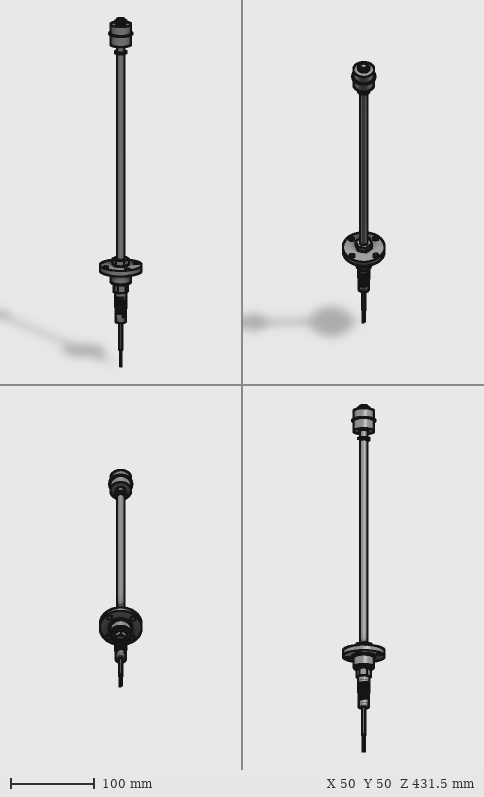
import cadquery as cq
import math

CABLE_BOTTOM_Z = 20.7
GLAND_BOTTOM_Z = 55.0
GLAND_BAND_Z = 59.0
GLAND_TAPER_TOP_Z = 87.5
GLAND_HEX_BOTTOM_Z = 93.0
GLAND_HEX_TOP_Z = 102.5
HUB_BOTTOM_Z = 103.5
FLANGE_BOTTOM_Z = 118.5
FLANGE_TOP_Z = 125.5
NUT_BOTTOM_Z = 126.5
NUT_TOP_Z = 133.5
LOWER_CLIP_Z = 389.7
FLOAT_BOTTOM_Z = 400.0
SEAM_Z = 413.5
UPPER_CLIP_Z = 427.7
STEM_TOP_Z = 431.5

STEM_DIA = 9.0
STEM_END_CHAMFER = 0.5
CLIP_GROOVE_DIA = 7.0
CLIP_GROOVE_MARGIN = 1.0

CLIP_OUTER_DIA = 14.2
CLIP_THICKNESS = 1.0
CLIP_MOUTH_ANGLE = 66

FLOAT_DIA = 25.0
FLOAT_HEIGHT = 25.0
FLOAT_BORE_DIA = 11.0
SEAM_DIA = 27.5
SEAM_HEIGHT = 1.5
SEAM_CREST_HEIGHT = 0.5

FLANGE_DIA = 50.0
BOLT_HOLE_DIA = 6.0
BOLT_CIRCLE_DIA = 40.0
BOLT_HOLE_COUNT = 4
NUT_ACROSS_FLATS = 17.3
NUT_NECK_DIA = 16.5
HUB_DIA = 25.0
HUB_CHAMFER = 1.7

GLAND_HEX_ACROSS_FLATS = 15.0
GLAND_HEX_TURN = 15
GLAND_NECK_DIA = 14.5
GLAND_TOP_DIA = 14.0
GLAND_END_DIA = 12.5
GLAND_END_FILLET = 1.5
SPIRAL_HEIGHT = 22.5
SPIRAL_TURNS = 5
SPIRAL_PITCH = SPIRAL_HEIGHT / SPIRAL_TURNS
SPIRAL_START_Z = 63.5
SPIRAL_MOUTH_WIDTH = 3.0
SPIRAL_FLOOR_WIDTH = 1.5
SPIRAL_DEPTH = 1.1

CABLE_DIA = 4.0
WIRE_COUNT = 2
WIRE_DIA = 1.4
WIRE_SPACING = 2.07

HEX_CORNERS = 6
CORNERS_PER_FLATS = 1 / math.cos(math.pi / HEX_CORNERS)


def cylinder(diameter, bottom, top):
    return cq.Workplane("XY").workplane(offset=bottom).circle(diameter / 2).extrude(top - bottom)


def tube(outer_dia, inner_dia, bottom, top):
    return cylinder(outer_dia, bottom, top).cut(cylinder(inner_dia, bottom, top))


def hexagon(across_flats, bottom, top, turn=0):
    across_corners = across_flats * CORNERS_PER_FLATS
    prism = (
        cq.Workplane("XY").workplane(offset=bottom)
        .polygon(HEX_CORNERS, across_corners)
        .extrude(top - bottom)
    )
    return prism.rotate((0, 0, 0), (0, 0, 1), turn)


def revolved(profile):
    return cq.Workplane("XZ").polyline(profile).close().revolve(360, (0, 0, 0), (0, 1, 0))


def make_stem():
    """Straight rod seated in the flange, with a groove for each clip."""
    stem = cylinder(STEM_DIA, FLANGE_BOTTOM_Z, STEM_TOP_Z).faces(">Z").chamfer(STEM_END_CHAMFER)
    for clip_z in (LOWER_CLIP_Z, UPPER_CLIP_Z):
        groove_bottom = clip_z - CLIP_GROOVE_MARGIN
        stem = stem.cut(tube(STEM_DIA, CLIP_GROOVE_DIA, groove_bottom, clip_z + CLIP_THICKNESS))
    return stem


def make_clip(bottom):
    """Open retaining ring whose mouth faces +X."""
    top = bottom + CLIP_THICKNESS
    ring = tube(CLIP_OUTER_DIA, CLIP_GROOVE_DIA, bottom, top)
    mouth_half_width = CLIP_OUTER_DIA * math.tan(math.radians(CLIP_MOUTH_ANGLE / 2))
    mouth = (
        cq.Workplane("XY").workplane(offset=bottom)
        .polyline([(0, 0), (CLIP_OUTER_DIA, -mouth_half_width), (CLIP_OUTER_DIA, mouth_half_width)])
        .close()
        .extrude(CLIP_THICKNESS)
    )
    return ring.cut(mouth)


def make_float():
    """Hollow cylinder with a raised seam around its middle."""
    top = FLOAT_BOTTOM_Z + FLOAT_HEIGHT
    bore = FLOAT_BORE_DIA / 2
    wall = FLOAT_DIA / 2
    return revolved([
        (bore, FLOAT_BOTTOM_Z),
        (wall, FLOAT_BOTTOM_Z),
        (wall, SEAM_Z - SEAM_HEIGHT / 2),
        (SEAM_DIA / 2, SEAM_Z - SEAM_CREST_HEIGHT / 2),
        (SEAM_DIA / 2, SEAM_Z + SEAM_CREST_HEIGHT / 2),
        (wall, SEAM_Z + SEAM_HEIGHT / 2),
        (wall, top),
        (bore, top),
    ])


def make_flange():
    """Bolted plate with a hexagon above it and a hub flared into its underside."""
    wall = HUB_DIA / 2
    hub = revolved([
        (0, HUB_BOTTOM_Z),
        (wall - HUB_CHAMFER, HUB_BOTTOM_Z),
        (wall, HUB_BOTTOM_Z + HUB_CHAMFER),
        (wall, FLANGE_BOTTOM_Z - HUB_CHAMFER),
        (wall + HUB_CHAMFER, FLANGE_BOTTOM_Z),
        (0, FLANGE_BOTTOM_Z),
    ])
    plate = cylinder(FLANGE_DIA, FLANGE_BOTTOM_Z, FLANGE_TOP_Z)
    plate = (
        plate.faces(">Z").workplane()
        .polarArray(BOLT_CIRCLE_DIA / 2, 0, 360, BOLT_HOLE_COUNT)
        .hole(BOLT_HOLE_DIA)
    )
    nut_neck = cylinder(NUT_NECK_DIA, FLANGE_TOP_Z, NUT_BOTTOM_Z)
    nut = hexagon(NUT_ACROSS_FLATS, NUT_BOTTOM_Z, NUT_TOP_Z)
    stem_bore = cylinder(STEM_DIA, FLANGE_BOTTOM_Z, NUT_TOP_Z)
    return hub.union(plate).union(nut_neck).union(nut).cut(stem_bore)


def make_spiral_groove():
    """Trapezoidal cutter wound around the gland sleeve."""
    outer = GLAND_TOP_DIA / 2
    helix = cq.Wire.makeHelix(SPIRAL_PITCH, SPIRAL_HEIGHT, outer, cq.Vector(0, 0, SPIRAL_START_Z))
    path = cq.Workplane("XY").add(helix)
    half_mouth = SPIRAL_MOUTH_WIDTH / 2
    half_floor = SPIRAL_FLOOR_WIDTH / 2
    section = (
        cq.Workplane("XZ").center(outer, SPIRAL_START_Z)
        .polyline([
            (-SPIRAL_DEPTH, -half_floor),
            (0, -half_mouth),
            (SPIRAL_DEPTH, -half_mouth),
            (SPIRAL_DEPTH, half_mouth),
            (0, half_mouth),
            (-SPIRAL_DEPTH, half_floor),
        ])
        .close()
    )
    return section.sweep(path, isFrenet=True)


def make_gland():
    """Hexagon head with a tapered, spirally grooved sleeve around the cable."""
    end = GLAND_END_DIA / 2
    top = GLAND_TOP_DIA / 2
    sleeve = revolved([
        (0, GLAND_BOTTOM_Z),
        (end, GLAND_BOTTOM_Z),
        (end, GLAND_BAND_Z),
        (top, GLAND_TAPER_TOP_Z),
        (top, GLAND_HEX_BOTTOM_Z),
        (0, GLAND_HEX_BOTTOM_Z),
    ])
    sleeve = sleeve.faces("<Z").edges().fillet(GLAND_END_FILLET).cut(make_spiral_groove())
    head = hexagon(GLAND_HEX_ACROSS_FLATS, GLAND_HEX_BOTTOM_Z, GLAND_HEX_TOP_Z, GLAND_HEX_TURN)
    neck = cylinder(GLAND_NECK_DIA, GLAND_HEX_TOP_Z, HUB_BOTTOM_Z)
    return sleeve.union(head).union(neck).cut(cylinder(CABLE_DIA, GLAND_BOTTOM_Z, HUB_BOTTOM_Z))


def make_cable():
    """Round cable held in the gland."""
    return cylinder(CABLE_DIA, CABLE_BOTTOM_Z, HUB_BOTTOM_Z)


def make_wire(x):
    """Bare wire leaving the end of the cable."""
    return cylinder(WIRE_DIA, 0, CABLE_BOTTOM_Z).translate((x, 0, 0))


wires = [make_wire(WIRE_SPACING * (i - (WIRE_COUNT - 1) / 2)) for i in range(WIRE_COUNT)]
clips = [make_clip(z) for z in (LOWER_CLIP_Z, UPPER_CLIP_Z)]
bodies = [make_stem(), make_float(), *clips, make_flange(), make_gland(), make_cable(), *wires]
result = cq.Compound.makeCompound([body.val() for body in bodies])